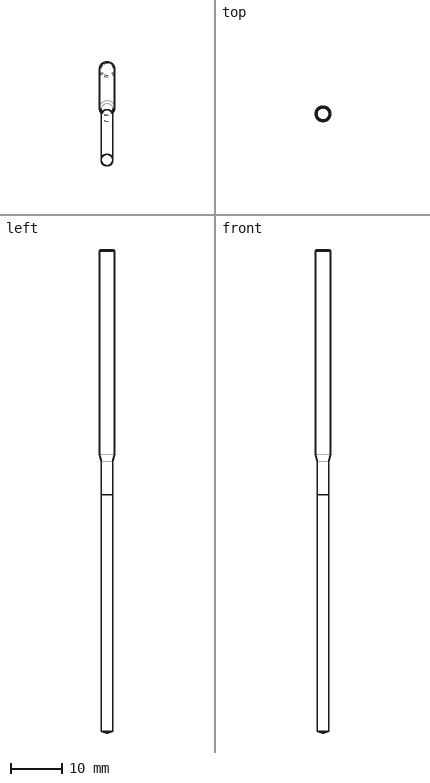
import cadquery as cq
import math

overall_length = 94.42
shank_diameter = 3.0
drill_diameter = 2.3
shank_length = 40.0
shank_chamfer = 0.3
taper_half_angle = 15.0
point_angle = 140.0
cutting_length = 46.6

shank_radius = shank_diameter / 2
drill_radius = drill_diameter / 2
point_height = drill_radius / math.tan(math.radians(point_angle / 2))
taper_length = (shank_radius - drill_radius) / math.tan(math.radians(taper_half_angle))
shank_bottom = overall_length - shank_length
taper_bottom = shank_bottom - taper_length


def revolve_profile(profile_points):
    """Turn a closed radius/height outline about the Z axis."""
    return cq.Workplane("XZ").polyline(profile_points).close().revolve(360, (0, 0, 0), (0, 1, 0))


def make_shank():
    """Chamfered shank that tapers down to a neck of the drill diameter."""
    return revolve_profile([
        (0, cutting_length),
        (drill_radius, cutting_length),
        (drill_radius, taper_bottom),
        (shank_radius, shank_bottom),
        (shank_radius, overall_length - shank_chamfer),
        (shank_radius - shank_chamfer, overall_length),
        (0, overall_length),
    ])


def make_cutting_end():
    """Plain cylinder for the cutting length, ending in a conical point."""
    return revolve_profile([
        (0, 0),
        (drill_radius, point_height),
        (drill_radius, cutting_length),
        (0, cutting_length),
    ])


shank = make_shank()
cutting_end = make_cutting_end()

result = cq.Compound.makeCompound([shank.val(), cutting_end.val()])